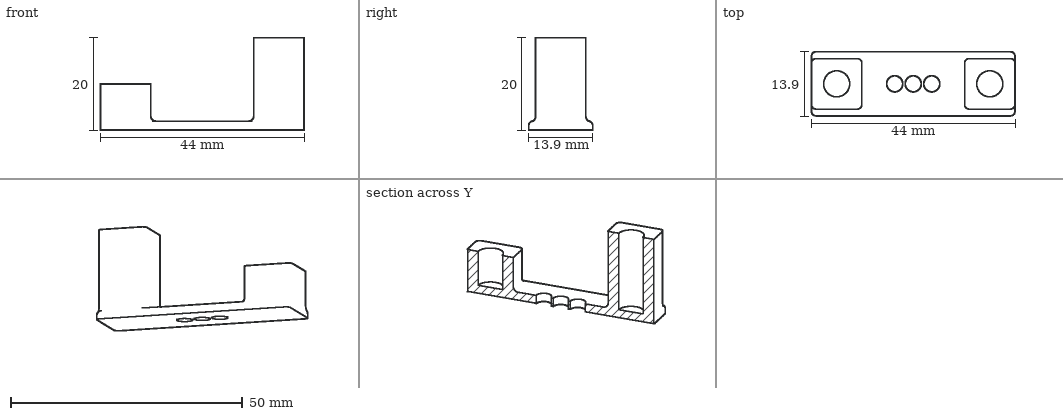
import cadquery as cq

length = 44.0
width = 13.9
plate_thickness = 2.0

post_side = 10.9
short_post_height = 10.0
tall_post_height = 20.0
post_offset = (length - post_side) / 2

edge_radius = 1.0

post_hole_diameter = 5.65
post_hole_floor = plate_thickness

plate_hole_diameter = 3.45
plate_hole_pitch = 4.0
plate_hole_count = 3

margin = 0.05


def make_post(x_center, height):
    """Square post with its inward-facing vertical edges rounded."""
    inner_edges = "|Z and >X" if x_center < 0 else "|Z and <X"
    return (
        cq.Workplane("XY")
        .center(x_center, 0)
        .rect(post_side, post_side)
        .extrude(height)
        .edges(inner_edges)
        .fillet(edge_radius)
    )


def make_plate():
    """Plate with its two long top edges rounded."""
    return (
        cq.Workplane("XY")
        .rect(length, width)
        .extrude(plate_thickness)
        .edges("|X and >Z")
        .fillet(edge_radius)
    )


def round_post_feet(body):
    """Blend the foot of each post into the plate and its rounded edges."""
    reach = post_side / 2 + margin
    for x_center in (-post_offset, post_offset):
        foot = cq.selectors.BoxSelector(
            (x_center - reach, -reach, plate_thickness - edge_radius),
            (x_center + reach, reach, plate_thickness + margin),
        )
        off_end_faces = cq.selectors.BoxSelector(
            (-length / 2 + margin, -width, 0),
            (length / 2 - margin, width, tall_post_height),
        )
        body = body.edges(foot & off_end_faces).fillet(edge_radius)
    return body


def round_end_outlines(body):
    """Round both sides of each end face, from the underside up to the post top."""
    for end in ("<X", ">X"):
        body = body.faces(end).edges("not |Y").fillet(edge_radius)
    return body


def drill_post(body, x_center, height):
    """Cut a blind hole down the middle of a post."""
    hole = (
        cq.Workplane("XY", origin=(x_center, 0, post_hole_floor))
        .circle(post_hole_diameter / 2)
        .extrude(height - post_hole_floor)
    )
    return body.cut(hole)


posts = ((-post_offset, short_post_height), (post_offset, tall_post_height))

result = make_plate()
for post_x, post_height in posts:
    result = result.union(make_post(post_x, post_height))

result = round_post_feet(result)
result = round_end_outlines(result)

for post_x, post_height in posts:
    result = drill_post(result, post_x, post_height)

plate_holes = (
    cq.Workplane("XY")
    .rarray(plate_hole_pitch, 0.45, plate_hole_count, 1)
    .circle(plate_hole_diameter / 2)
    .extrude(plate_thickness)
)
result = result.cut(plate_holes)